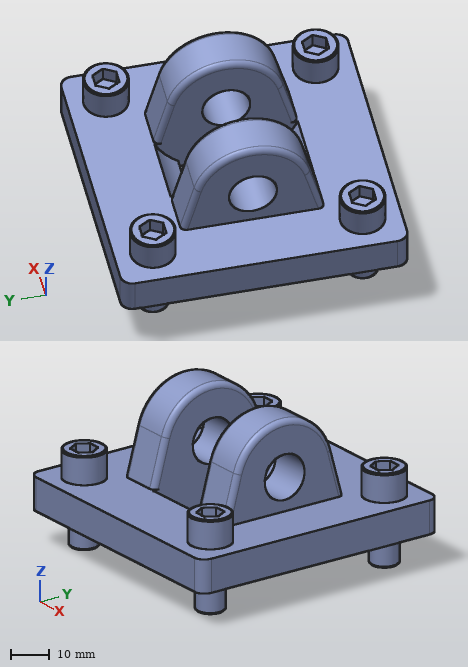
import cadquery as cq
import math

plate_side = 76.2
plate_thickness = 9.5
plate_corner_radius = 3.2

lug_thickness = 12.7
lug_gap = 19.05
lug_base_width = 38.1
lug_round_radius = 15.85
lug_edge_fillet = 1.6
pin_hole_diameter = 12.7
pin_hole_height = 9.5

window_length = 25.45

screw_spacing = 55.7
shank_diameter = 8.1
shank_projection = 9.5
shank_tip_chamfer = 0.5
head_diameter = 11.9
head_height = 8.1
head_chamfer = 0.4
socket_across_flats = 6.3
socket_depth = 3.8

plate_top = plate_thickness
pin_hole_z = plate_top + pin_hole_height
lug_offset = (lug_gap + lug_thickness) / 2
shank_length = plate_thickness + shank_projection
socket_across_corners = socket_across_flats / math.cos(math.radians(30))
screw_points = [
    (x_side * screw_spacing / 2, y_side * screw_spacing / 2)
    for x_side in (-1, 1)
    for y_side in (-1, 1)
]


def make_lug(center_x):
    """Upright lug: flanks rise tangent to the round top, outline edges are filleted."""
    half_base = lug_base_width / 2
    corner_distance = math.hypot(half_base, pin_hole_height)
    corner_angle = -math.atan2(pin_hole_height, half_base)
    tangent_angle = corner_angle + math.acos(lug_round_radius / corner_distance)
    tangent_y = lug_round_radius * math.cos(tangent_angle)
    tangent_z = pin_hole_z + lug_round_radius * math.sin(tangent_angle)

    lug = (
        cq.Workplane("YZ", origin=(center_x - lug_thickness / 2, 0, 0))
        .moveTo(-half_base, plate_top)
        .lineTo(half_base, plate_top)
        .lineTo(tangent_y, tangent_z)
        .threePointArc((0, pin_hole_z + lug_round_radius), (-tangent_y, tangent_z))
        .close()
        .extrude(lug_thickness)
    )
    outline_edges = lug.faces("|X").edges(cq.selectors.BoxSelector(
        (center_x - lug_thickness, -plate_side, plate_top + lug_edge_fillet),
        (center_x + lug_thickness, plate_side, plate_top + plate_side),
    ))
    return outline_edges.fillet(lug_edge_fillet)


def make_relief():
    """Opening between the lugs: a bowl swept about the pin axis and a straight window below."""
    bowl_radius = math.hypot(lug_base_width / 2, pin_hole_height)
    bowl = (
        cq.Workplane("YZ", origin=(-lug_gap / 2, 0, pin_hole_z))
        .circle(bowl_radius)
        .extrude(lug_gap)
    )
    plate_slab = cq.Workplane("XY").rect(plate_side, plate_side).extrude(plate_thickness)
    window = cq.Workplane("XY").rect(lug_gap, window_length).extrude(plate_thickness)
    return bowl.intersect(plate_slab).union(window)


def make_bracket():
    """Square plate with two lugs, a pin hole through both, and screw clearance holes."""
    bracket = (
        cq.Workplane("XY")
        .rect(plate_side, plate_side)
        .extrude(plate_thickness)
        .edges("|Z")
        .fillet(plate_corner_radius)
    )
    for side in (-1, 1):
        bracket = bracket.union(make_lug(side * lug_offset))
    pin_hole = (
        cq.Workplane("YZ", origin=(-plate_side / 2, 0, pin_hole_z))
        .circle(pin_hole_diameter / 2)
        .extrude(plate_side)
    )
    screw_holes = (
        cq.Workplane("XY")
        .pushPoints(screw_points)
        .circle(shank_diameter / 2)
        .extrude(plate_thickness)
    )
    return bracket.cut(make_relief()).cut(pin_hole).cut(screw_holes)


def make_screw(x, y):
    """Socket head cap screw seated on the plate's top face."""
    shank = (
        cq.Workplane("XY", origin=(x, y, -shank_projection))
        .circle(shank_diameter / 2)
        .extrude(shank_length)
        .faces("<Z")
        .chamfer(shank_tip_chamfer)
    )
    head = (
        cq.Workplane("XY", origin=(x, y, plate_top))
        .circle(head_diameter / 2)
        .extrude(head_height)
        .faces(">Z")
        .chamfer(head_chamfer)
    )
    socket = (
        cq.Workplane("XY", origin=(x, y, plate_top + head_height - socket_depth))
        .polygon(6, socket_across_corners)
        .extrude(socket_depth)
    )
    return shank.union(head).cut(socket)


bracket = make_bracket()
screws = [make_screw(x, y) for x, y in screw_points]

result = cq.Compound.makeCompound([bracket.val(), *[screw.val() for screw in screws]])